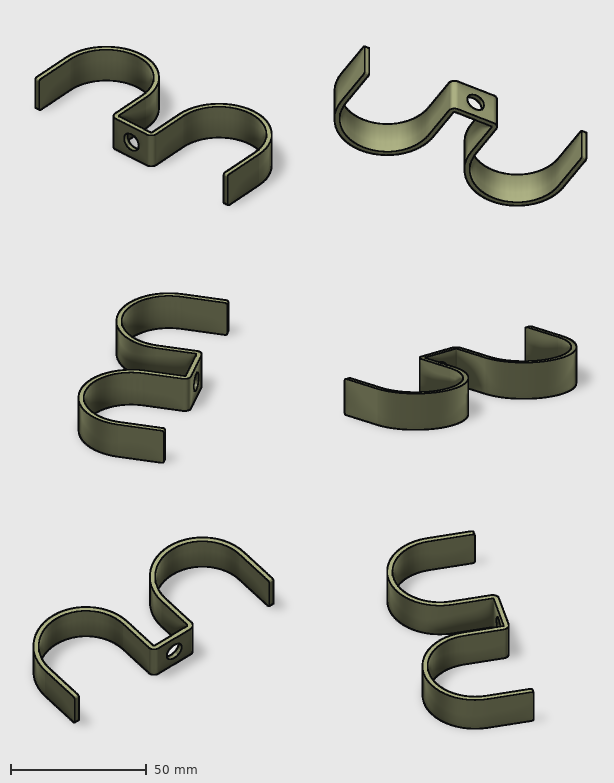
import cadquery as cq

length = 94.0
depth = 37.0
strip_width = 14.0
thickness = 2.0

arch_radius = 19.5
inner_bend_radius = 0.5
end_corner_radius = 0.9
hole_diameter = 7.05

arch_offset = length / 2 - arch_radius
inner_arch_radius = arch_radius - thickness
leg_length = depth - arch_radius
bridge_length = 2 * (arch_offset - inner_arch_radius)
outer_bend_radius = inner_bend_radius + thickness


def box(size_x, size_y, center_x):
    """Full-width block standing on the Y = 0 plane."""
    return (
        cq.Workplane("XY")
        .center(center_x, size_y / 2)
        .rect(size_x, size_y)
        .extrude(strip_width)
    )


def arch(center_x):
    """Half ring over one pipe, opening toward -Y."""
    return (
        cq.Workplane("XY")
        .moveTo(center_x - arch_radius, leg_length)
        .threePointArc((center_x, depth), (center_x + arch_radius, leg_length))
        .lineTo(center_x + inner_arch_radius, leg_length)
        .threePointArc(
            (center_x, leg_length + inner_arch_radius),
            (center_x - inner_arch_radius, leg_length),
        )
        .close()
        .extrude(strip_width)
    )


def outer_leg(center_x):
    """Straight free leg with rounded corners at its tip."""
    leg = box(thickness, leg_length, center_x)
    return leg.faces("<Y").edges("|X").fillet(end_corner_radius)


def bridge():
    """U-shaped middle with bent corners and a screw hole."""
    inner_width = bridge_length - 2 * thickness
    outside = box(bridge_length, leg_length, 0)
    outside = outside.faces("<Y").edges("|Z").fillet(outer_bend_radius)
    inside = box(inner_width, leg_length, 0)
    inside = inside.faces("<Y").edges("|Z").fillet(inner_bend_radius)
    channel = outside.cut(inside.translate((0, thickness, 0)))
    hole = (
        cq.Workplane("XZ")
        .center(0, strip_width / 2)
        .circle(hole_diameter / 2)
        .extrude(-thickness)
    )
    return channel.cut(hole)


result = bridge()
for side in (-1, 1):
    result = result.union(arch(side * arch_offset))
    result = result.union(outer_leg(side * (length - thickness) / 2))